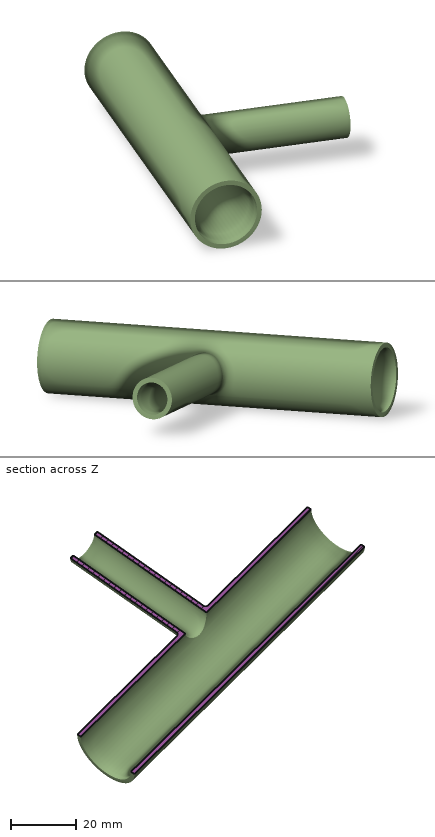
import cadquery as cq

run_length = 110.0
run_outer_dia = 23.0
run_bore_dia = 20.0

branch_outer_dia = 13.0
branch_bore_dia = 10.0
overall_width = 66.5
branch_reach = overall_width - run_outer_dia / 2

joint_fillet = 1.0


def run_cylinder(diameter):
    """Cylinder along X over the full length of the run."""
    return cq.Workplane("YZ").circle(diameter / 2).extrude(run_length / 2, both=True)


def branch_cylinder(diameter):
    """Cylinder along +Y from the run axis to the end of the branch."""
    return cq.Workplane("XZ").circle(diameter / 2).extrude(-branch_reach)


joint_region = cq.selectors.BoxSelector(
    (-branch_outer_dia, 0, -branch_outer_dia),
    (branch_outer_dia, run_outer_dia, branch_outer_dia),
)

tee = run_cylinder(run_outer_dia).union(branch_cylinder(branch_outer_dia))
tee = tee.edges(joint_region).fillet(joint_fillet)

result = tee.cut(run_cylinder(run_bore_dia)).cut(branch_cylinder(branch_bore_dia))